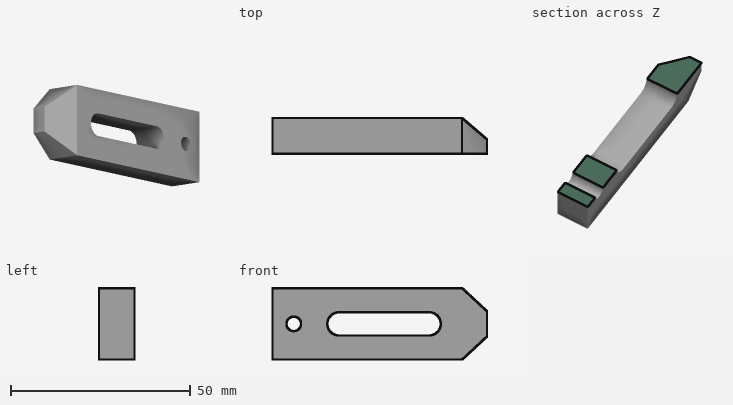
import cadquery as cq

length = 60.0
thickness = 10.0
height = 20.0

nose_length = 7.0
nose_tip_height = 7.0
nose_tip_thickness = 4.0

hole_diameter = 4.0
hole_from_end = 6.0

slot_width = 6.4
slot_start = 15.4
slot_end = 47.0

shoulder_x = length - nose_length


def make_side_profile():
    """Bar seen along Y: a rectangle narrowing symmetrically to the nose tip, full thickness."""
    half_height = height / 2
    half_tip = nose_tip_height / 2
    outline = [
        (0, -half_height),
        (shoulder_x, -half_height),
        (length, -half_tip),
        (length, half_tip),
        (shoulder_x, half_height),
        (0, half_height),
    ]
    return cq.Workplane("XZ").polyline(outline).close().extrude(-thickness)


def make_nose_relief():
    """Wedge removed from the +Y face so that the nose thins toward its tip."""
    outline = [
        (shoulder_x, thickness),
        (length, thickness),
        (length, nose_tip_thickness),
    ]
    return cq.Workplane("XY").polyline(outline).close().extrude(height / 2, both=True)


def make_hole():
    """Round through hole along Y."""
    return cq.Workplane("XZ").center(hole_from_end, 0).circle(hole_diameter / 2).extrude(-thickness)


def make_slot():
    """Round-ended through slot along Y, centred on the height."""
    slot_length = slot_end - slot_start
    slot_center = (slot_start + slot_end) / 2
    return cq.Workplane("XZ").center(slot_center, 0).slot2D(slot_length, slot_width).extrude(-thickness)


result = make_side_profile().cut(make_nose_relief()).cut(make_hole()).cut(make_slot())